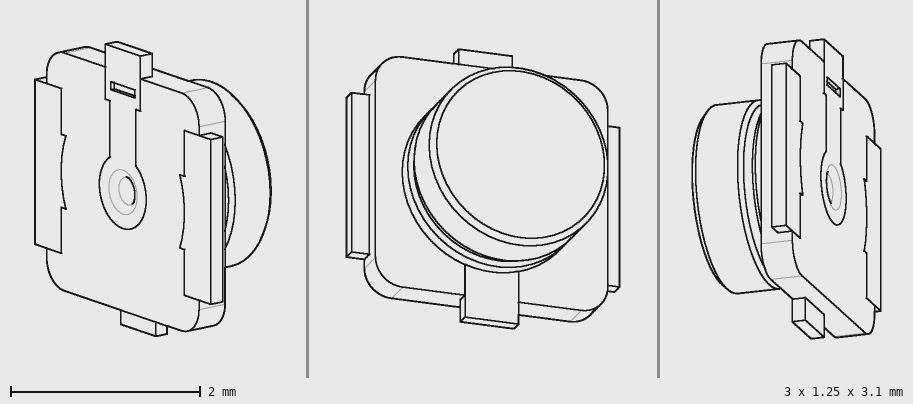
import cadquery as cq
import math


plate_side = 2.6
plate_thickness = 0.35
corner_radius = 0.3

sheet_thickness = 0.16

overall_height = 3.1
tab_width = 0.6
contact_tab_length = 0.6
neck_width = 0.445
ring_radius = 0.4
slot_width = 0.41
slot_height = 0.087
slot_center_z = 1.115
slot_depth = 0.05

dimple_radius = 0.16
dimple_lip_radius = 0.1

overall_width = 3.0
pad_width = 0.45
pad_height = 1.8
pad_ear_height = 0.8
pad_arc_radius = overall_width / 2 - pad_width

overall_depth = 1.25
barrel_radius = 1.0
barrel_tip_chamfer = 0.062
groove_depth = 0.05
groove_floor_start = 0.57
groove_floor_width = 0.1

barrel_tab_step = 0.005
barrel_tab_thickness = 0.15
barrel_tab_root_overlap = 0.05

half_height = overall_height / 2
barrel_tab_back_y = plate_thickness + barrel_tab_step


def block(x_range, y_range, z_range):
    """Axis-aligned box between the given limits."""
    size = [high - low for low, high in (x_range, y_range, z_range)]
    corner = cq.Vector(x_range[0], y_range[0], z_range[0])
    return cq.Workplane(cq.Solid.makeBox(*size, corner))


def disc(radius, start_y, end_y):
    """Cylinder on the part's axis."""
    return cq.Workplane(
        cq.Solid.makeCylinder(radius, end_y - start_y, cq.Vector(0, start_y, 0), cq.Vector(0, 1, 0))
    )


def revolve_about_axis(profile):
    """Full turn about Y of a closed profile drawn as (radius, Y)."""
    return profile.close().revolve(360, (0, 0, 0), (0, 1, 0))


def dimple_shape():
    """Hollow of the dimple: a hemisphere sunk from the mounting face, with a rounded lip."""
    center_gap = dimple_radius + dimple_lip_radius
    mouth_radius = math.sqrt(center_gap**2 - dimple_lip_radius**2)
    lip_angle = math.asin(dimple_lip_radius / center_gap)

    def on_lip(angle):
        return (
            mouth_radius - dimple_lip_radius * math.cos(angle),
            dimple_lip_radius - dimple_lip_radius * math.sin(angle),
        )

    def on_sphere(angle):
        return (dimple_radius * math.cos(angle), dimple_radius * math.sin(angle))

    quarter = math.pi / 2
    profile = (
        cq.Workplane("XY")
        .lineTo(mouth_radius, 0)
        .threePointArc(on_lip((lip_angle + quarter) / 2), on_sphere(lip_angle))
        .threePointArc(on_sphere((lip_angle + quarter) / 2), (0, dimple_radius))
    )
    return revolve_about_axis(profile)


def contact_envelope():
    """Signal contact without its slot and dimple; this is also its seat in the housing."""
    tab_bottom_z = half_height - contact_tab_length
    sheet = (0, sheet_thickness)
    tab = block((-tab_width / 2, tab_width / 2), sheet, (tab_bottom_z, half_height))
    neck = block((-neck_width / 2, neck_width / 2), sheet, (0, tab_bottom_z))
    ring = disc(ring_radius, *sheet)
    ball = cq.Workplane("XY").sphere(dimple_radius + sheet_thickness)
    boss = ball.intersect(disc(ring_radius, 0, plate_thickness))
    return tab.union(neck).union(ring).union(boss)


def make_contact():
    """Signal contact: tab, neck and ring, with a shallow slot and a central dimple."""
    slot = block(
        (-slot_width / 2, slot_width / 2),
        (0, slot_depth),
        (slot_center_z - slot_height / 2, slot_center_z + slot_height / 2),
    )
    return contact_envelope().cut(slot).cut(dimple_shape())


def make_pad(side):
    """Ground pad on the +X (side = 1) or -X (side = -1) edge, with a concave inner ear."""
    outer_x = overall_width / 2
    inner_x = outer_x - pad_width
    half_pad = pad_height / 2
    half_ear = pad_ear_height / 2
    ear_x = math.sqrt(pad_arc_radius**2 - half_ear**2)
    return (
        cq.Workplane("XZ")
        .moveTo(side * outer_x, -half_pad)
        .lineTo(side * outer_x, half_pad)
        .lineTo(side * inner_x, half_pad)
        .lineTo(side * inner_x, half_ear)
        .lineTo(side * ear_x, half_ear)
        .threePointArc((side * pad_arc_radius, 0), (side * ear_x, -half_ear))
        .lineTo(side * inner_x, -half_ear)
        .lineTo(side * inner_x, -half_pad)
        .close()
        .extrude(-sheet_thickness)
    )


def make_barrel():
    """Grooved ground barrel with the tab that leaves it toward -Z."""
    groove_floor_end = groove_floor_start + groove_floor_width
    groove_radius = barrel_radius - groove_depth
    body = revolve_about_axis(
        cq.Workplane("XY")
        .moveTo(0, plate_thickness)
        .lineTo(barrel_radius, plate_thickness)
        .lineTo(barrel_radius, groove_floor_start - groove_depth)
        .lineTo(groove_radius, groove_floor_start)
        .lineTo(groove_radius, groove_floor_end)
        .lineTo(barrel_radius, groove_floor_end + groove_depth)
        .lineTo(barrel_radius, overall_depth - barrel_tip_chamfer)
        .lineTo(barrel_radius - barrel_tip_chamfer, overall_depth)
        .lineTo(0, overall_depth)
    )
    tab = block(
        (-tab_width / 2, tab_width / 2),
        (barrel_tab_back_y - barrel_tab_thickness, barrel_tab_back_y),
        (-half_height, -barrel_radius + barrel_tab_root_overlap),
    )
    return body.union(tab)


def make_housing(neighbours):
    """Rounded square plate with a matching recess for every body set into it."""
    plate = (
        cq.Workplane("XZ")
        .rect(plate_side, plate_side)
        .extrude(-plate_thickness)
        .edges("|Y")
        .fillet(corner_radius)
    )
    for neighbour in neighbours:
        plate = plate.cut(neighbour)
    return plate


contact = make_contact()
pads = [make_pad(side) for side in (-1, 1)]
barrel = make_barrel()
housing = make_housing([contact_envelope(), barrel, *pads])

result = cq.Compound.makeCompound(
    [housing.val(), contact.val(), barrel.val(), *[pad.val() for pad in pads]]
)